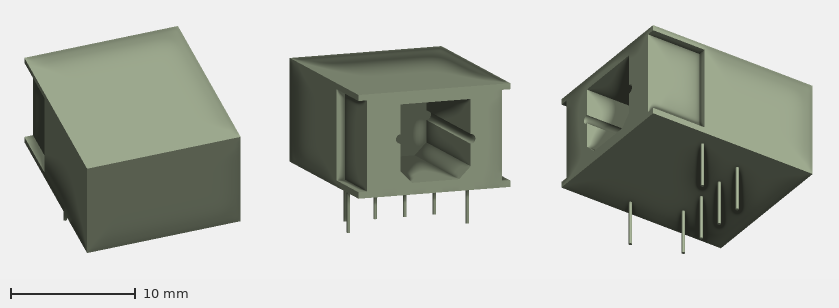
import cadquery as cq

body_length = 15.5
body_width = 13.0
body_height = 8.5

recess_length = 5.0
recess_depth = 0.73
top_lip = 0.5
bottom_lip = 0.53

socket_width = 6.0
socket_height = 6.5
socket_depth = 10.0
socket_center_y = -0.11
socket_roof = 1.04
socket_chamfer = 0.99

groove_diameter = 0.8
left_groove_z = 4.6
right_groove_z = 4.18

pin_length = 4.0
pin_diameter = 0.28
mounting_pin_x = 5.8
mounting_pin_ys = (5.16, -5.04)
contact_pin_x = 10.01
contact_pin_pitch = 2.54
contact_pin_count = 4


def make_side_recess(side):
    """Pocket in the side wall at +Y (side = 1) or -Y (side = -1)."""
    recess_height = body_height - top_lip - bottom_lip
    center_y = side * (body_width - recess_depth) / 2
    return (
        cq.Workplane("XY", origin=(0, center_y, bottom_lip))
        .box(recess_length, recess_depth, recess_height, centered=(False, True, False))
    )


def make_groove(y, z):
    """Round bar along X, half sunk into a socket wall."""
    return cq.Workplane("YZ").center(y, z).circle(groove_diameter / 2).extrude(socket_depth)


def make_socket():
    """Blind socket with two chamfered lower edges and a keying groove in each wall."""
    floor_z = body_height - socket_roof - socket_height
    half_width = socket_width / 2
    socket = (
        cq.Workplane("XY", origin=(0, socket_center_y, floor_z))
        .box(socket_depth, socket_width, socket_height, centered=(False, True, False))
        .edges("|X and <Z")
        .chamfer(socket_chamfer)
    )
    left_groove = make_groove(socket_center_y + half_width, left_groove_z)
    right_groove = make_groove(socket_center_y - half_width, right_groove_z)
    return socket.union(left_groove).union(right_groove)


def make_pins():
    """All pins, hanging from the underside of the housing."""
    first_contact_y = -contact_pin_pitch * (contact_pin_count - 1) / 2
    mounting_points = [(mounting_pin_x, y) for y in mounting_pin_ys]
    contact_points = [
        (contact_pin_x, first_contact_y + i * contact_pin_pitch) for i in range(contact_pin_count)
    ]
    return (
        cq.Workplane("XY")
        .pushPoints(mounting_points + contact_points)
        .circle(pin_diameter / 2)
        .extrude(-pin_length)
    )


housing = cq.Workplane("XY").box(body_length, body_width, body_height, centered=(False, True, False))
for side in (1, -1):
    housing = housing.cut(make_side_recess(side))
housing = housing.cut(make_socket())

result = housing.union(make_pins())